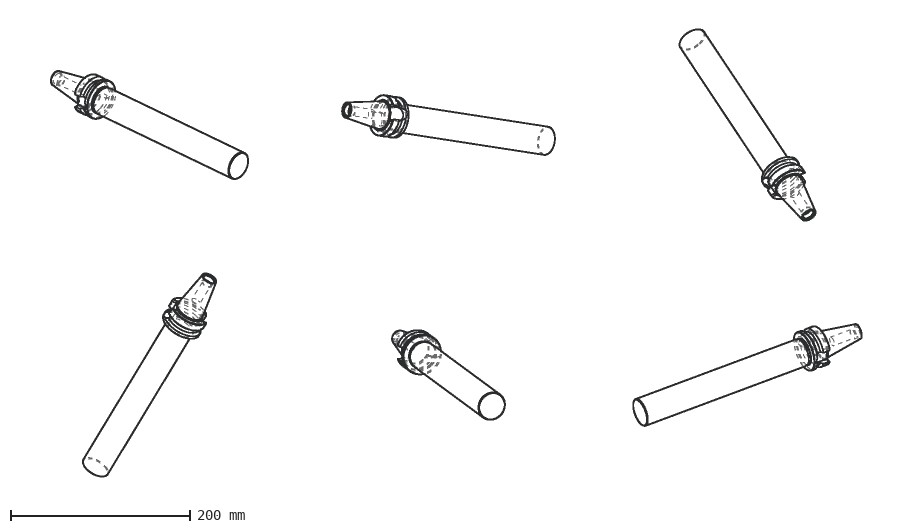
import cadquery as cq

total_length = 283.5
flange_radius = 23.0

taper_small_radius = 8.8
taper_large_radius = 16.0
taper_length = 48.2
relief_radius = 15.3

flange_start = 48.7
flange_end = 70.3
flange_chamfer = 0.5
face_recess_radius = 17.43
face_recess_depth = 1.0
groove_start = 57.5
groove_end = 66.0
groove_floor_radius = 19.8
groove_wall_run = 2.3

body_radius = 16.0
neck_radius = 15.5
neck_corner_run = 0.5
neck_land_start = 73.0
neck_land_end = 74.3
body_start = 75.5
neck_land_radius = 15.73
body_chamfer = 0.9

slot_width = 15.5
slot_end = 67.5
slot_floor_distance = 16.0
slot_entry_chamfer = 1.7

mouth_radius = 7.5
mouth_chamfer = 1.28
counterbore_radius = mouth_radius - mouth_chamfer
counterbore_depth = 7.0
bore_radius = 5.0
bore_depth = 34.0
drill_tip_depth = 2.8


def turned_body():
    """Outer profile revolved about the X axis."""
    profile = [
        (0, 0),
        (0, taper_small_radius),
        (taper_length, taper_large_radius),
        (taper_length, relief_radius),
        (flange_start + face_recess_depth, relief_radius),
        (flange_start, face_recess_radius),
        (flange_start, flange_radius - flange_chamfer),
        (flange_start + flange_chamfer, flange_radius),
        (groove_start, flange_radius),
        (groove_start + groove_wall_run, groove_floor_radius),
        (groove_end - groove_wall_run, groove_floor_radius),
        (groove_end, flange_radius),
        (flange_end - flange_chamfer, flange_radius),
        (flange_end, flange_radius - flange_chamfer),
        (flange_end, body_radius),
        (flange_end + neck_corner_run, neck_radius),
        (neck_land_start, neck_radius),
        (neck_land_start, neck_land_radius),
        (neck_land_end, neck_land_radius),
        (body_start, body_radius),
        (total_length - body_chamfer, body_radius),
        (total_length, body_radius - body_chamfer),
        (total_length, 0),
    ]
    return cq.Workplane("XY").polyline(profile).close().revolve(360, (0, 0, 0), (1, 0, 0))


def bore():
    """Stepped blind hole with a conical drill tip."""
    profile = [
        (0, 0),
        (0, mouth_radius),
        (mouth_chamfer, counterbore_radius),
        (counterbore_depth, counterbore_radius),
        (counterbore_depth, bore_radius),
        (bore_depth, bore_radius),
        (bore_depth + drill_tip_depth, 0),
    ]
    return cq.Workplane("XY").polyline(profile).close().revolve(360, (0, 0, 0), (1, 0, 0))


def drive_slot(side):
    """Slot cutter on the -Y side (side = -1) or the +Y side (side = 1)."""
    half_width = slot_width / 2
    flared_half_width = half_width + slot_entry_chamfer
    entry_end = flange_start + slot_entry_chamfer
    round_centre = slot_end - half_width
    outline = (
        cq.Workplane("XZ", origin=(0, side * slot_floor_distance, 0))
        .moveTo(flange_start, -flared_half_width)
        .lineTo(entry_end, -half_width)
        .lineTo(round_centre, -half_width)
        .threePointArc((slot_end, 0), (round_centre, half_width))
        .lineTo(entry_end, half_width)
        .lineTo(flange_start, flared_half_width)
        .close()
    )
    return outline.extrude(-side * flange_radius)


result = turned_body().cut(bore())
for side in (-1, 1):
    result = result.cut(drive_slot(side))